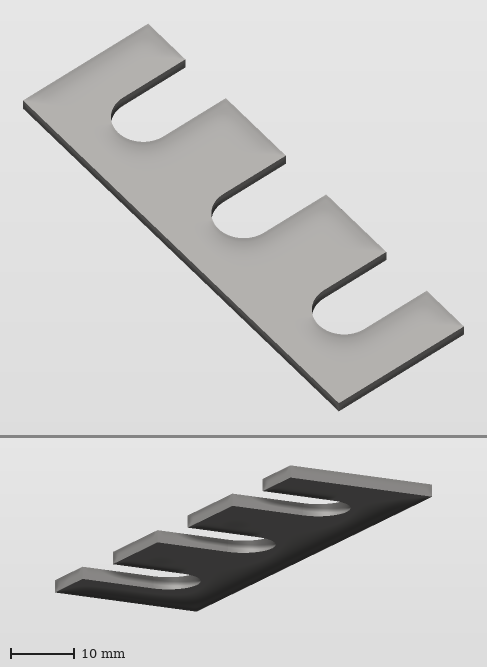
import cadquery as cq

length = 80.0
width = 25.4
thickness = 2.0

slot_count = 3
slot_pitch = 25.45
slot_width = 10.25
slot_depth = 17.8

slot_radius = slot_width / 2
back_edge = width / 2
slot_center_y = back_edge - slot_depth + slot_radius


def open_slot(x):
    """Through-cutting slot centred on x, from its round end to the back edge."""
    return (
        cq.Workplane("XY")
        .moveTo(x - slot_radius, back_edge)
        .lineTo(x - slot_radius, slot_center_y)
        .threePointArc((x, slot_center_y - slot_radius), (x + slot_radius, slot_center_y))
        .lineTo(x + slot_radius, back_edge)
        .close()
        .extrude(thickness)
    )


result = cq.Workplane("XY").box(length, width, thickness, centered=(True, True, False))
for index in range(slot_count):
    offset = index - (slot_count - 1) / 2
    result = result.cut(open_slot(offset * slot_pitch))